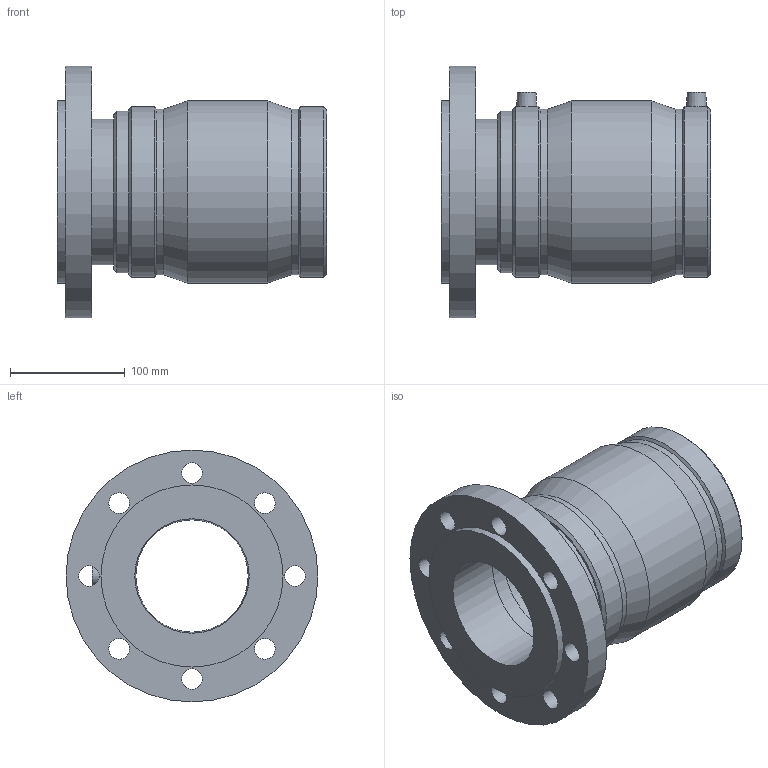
import cadquery as cq

LENGTH = 235.0
FACE_HEIGHT = 7.0
FLANGE_BACK = 30.0
COLLAR_START = 49.0
RING_WIDTH = 24.5
FRONT_RING_START = 62.2
FRONT_RING_END = FRONT_RING_START + RING_WIDTH
REAR_RING_START = LENGTH - RING_WIDTH
CONE_LENGTH = 21.0
BARREL_START = 113.5
BARREL_END = 183.5

FLANGE_DIA = 220.0
BARREL_DIA = 159.0
FACE_DIA = BARREL_DIA
NECK_DIA = 127.36
COLLAR_DIA = 141.0
RING_DIA = 149.46
GROOVE_DIA = 144.6
EDGE_CHAMFER = 2.7
INNER_CHAMFER_LENGTH = 1.7

INLET_DIA = 100.0
BORE_DIA = 98.0
INLET_DEPTH = COLLAR_START
INLET_TAPER_LENGTH = FRONT_RING_START - COLLAR_START

BOLT_COUNT = 8
BOLT_HOLE_DIA = 18.0
BOLT_CIRCLE_DIA = 180.0

STUB_TIP_Y = 87.0
STUB_TIP_DIA = 16.2
STUB_BASE_DIA = 18.0
STUB_ROOT_Y = 70.0


def outer_profile():
    """Half section of the outside, in X and radius."""
    ring_r = RING_DIA / 2
    groove_r = GROOVE_DIA / 2
    collar_r = COLLAR_DIA / 2
    return [
        (0, 0),
        (0, FACE_DIA / 2),
        (FACE_HEIGHT, FACE_DIA / 2),
        (FACE_HEIGHT, FLANGE_DIA / 2),
        (FLANGE_BACK, FLANGE_DIA / 2),
        (FLANGE_BACK, NECK_DIA / 2),
        (COLLAR_START, NECK_DIA / 2),
        (COLLAR_START, collar_r - EDGE_CHAMFER),
        (COLLAR_START + EDGE_CHAMFER, collar_r),
        (FRONT_RING_START, collar_r),
        (FRONT_RING_START, ring_r - EDGE_CHAMFER),
        (FRONT_RING_START + EDGE_CHAMFER, ring_r),
        (FRONT_RING_END - INNER_CHAMFER_LENGTH, ring_r),
        (FRONT_RING_END, groove_r),
        (BARREL_START - CONE_LENGTH, groove_r),
        (BARREL_START, BARREL_DIA / 2),
        (BARREL_END, BARREL_DIA / 2),
        (BARREL_END + CONE_LENGTH, groove_r),
        (REAR_RING_START, groove_r),
        (REAR_RING_START + INNER_CHAMFER_LENGTH, ring_r),
        (LENGTH - EDGE_CHAMFER, ring_r),
        (LENGTH, ring_r - EDGE_CHAMFER),
        (LENGTH, 0),
    ]


def bore_profile():
    """Half section of the bore, in X and radius."""
    return [
        (0, 0),
        (0, INLET_DIA / 2),
        (INLET_DEPTH, INLET_DIA / 2),
        (INLET_DEPTH + INLET_TAPER_LENGTH, BORE_DIA / 2),
        (LENGTH, BORE_DIA / 2),
        (LENGTH, 0),
    ]


def turned(profile):
    """Revolve a half section about the X axis."""
    return cq.Workplane("XY").polyline(profile).close().revolve(360, (0, 0, 0), (1, 0, 0))


def bolt_holes():
    """Through holes evenly spaced around the flange."""
    return (
        cq.Workplane("YZ")
        .polarArray(BOLT_CIRCLE_DIA / 2, 0, 360, BOLT_COUNT)
        .circle(BOLT_HOLE_DIA / 2)
        .extrude(FLANGE_BACK)
    )


def stub(x):
    """Tapered stub along +Y, its root buried in the ring wall."""
    return (
        cq.Workplane("XZ", origin=(x, STUB_TIP_Y, 0))
        .circle(STUB_TIP_DIA / 2)
        .workplane(offset=STUB_TIP_Y - STUB_ROOT_Y)
        .circle(STUB_BASE_DIA / 2)
        .loft(ruled=True)
    )


result = turned(outer_profile())
for ring_start in (FRONT_RING_START, REAR_RING_START):
    result = result.union(stub(ring_start + RING_WIDTH / 2))
result = result.cut(turned(bore_profile())).cut(bolt_holes())